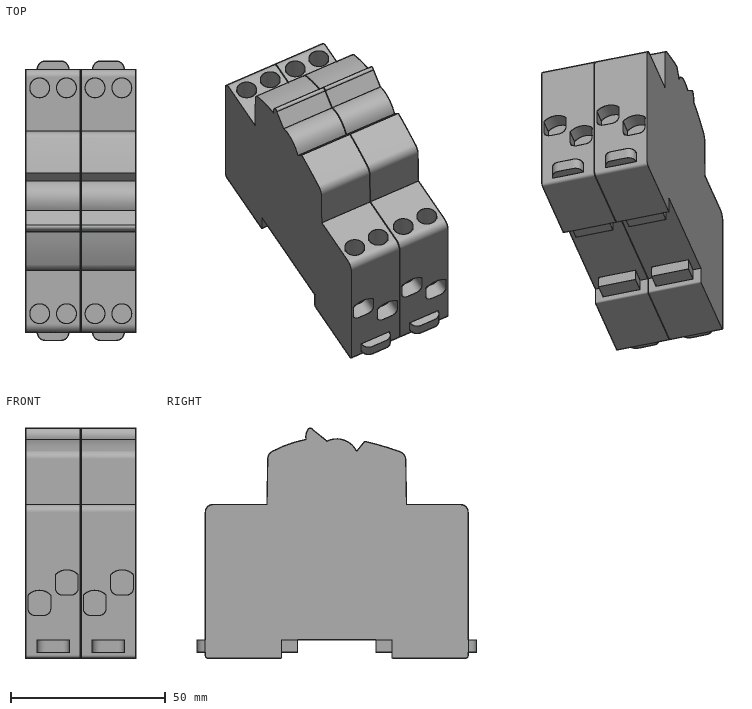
import cadquery as cq
import math


MODULE_COUNT = 2
MODULE_WIDTH = 17.7
MODULE_GAP = 0.2

OVERALL_LENGTH = 90.3
HOUSING_LENGTH = 85.0
SHOULDER_HEIGHT = 49.8
SHOULDER_RADIUS = 2.5
BASE_CORNER_RADIUS = 1.0

RAIL_RECESS_LENGTH = 35.6
RAIL_RECESS_HEIGHT = 6.0
RAIL_CORNER_RADIUS = 0.5

TOWER_BASE_HALF = 22.6
TOWER_TOP_HALF = 22.3
TOWER_CORNER_HEIGHT = 66.1
TOWER_CORNER_RADIUS = 2.9

BACK_CROWN_END = (9.0, 70.2)
BACK_CROWN_MIDDLE = (15.8, 68.4)
FRONT_CROWN_START = (-9.9, 70.8)
FRONT_CROWN_MIDDLE = (-16.3, 69.0)

BARREL_CENTRE_HEIGHT = 63.9
BARREL_RADIUS = 7.1
NOTCH_Y = 6.4
HANDLE_ROOT_Y = -3.2
HANDLE_TIP_START = (-7.8, 74.0)
HANDLE_TIP_TOP = (-8.5, 74.4)
HANDLE_TIP_END = (-9.4, 73.8)
HANDLE_SIDE_MIDDLE = (-10.0, 71.9)

SCREW_HOLE_OFFSET = 4.3
WIRE_HOLE_OFFSET = 4.4
SCREW_HOLE_DIAMETER = 6.4
SCREW_HOLE_Y = 36.5
SCREW_HOLE_DEPTH = 10.8
WIRE_HOLE_WIDTH = 7.4
WIRE_HOLE_HEIGHT = 8.1
WIRE_HOLE_ARCH_RISE = 1.6
WIRE_HOLE_CORNER_RADIUS = 2.3
WIRE_HOLE_DEPTH = 5.0
LOW_WIRE_HOLE_BOTTOM = 13.9
WIRE_HOLE_STAGGER = 6.6

CLIP_BOTTOM = 2.0
CLIP_ROOT_WIDTH = 10.5
CLIP_INNER_WIDTH = 12.5
CLIP_INNER_Y = 12.6
CLIP_TIP_WIDTH = 8.85
CLIP_TIP_RADIUS = 2.5

POSITION_TOLERANCE = 0.045

HALF_HOUSING = HOUSING_LENGTH / 2
HALF_RECESS = RAIL_RECESS_LENGTH / 2
HALF_LENGTH = OVERALL_LENGTH / 2


def barrel_height(y):
    """Height of the barrel's surface at a place along Y."""
    return BARREL_CENTRE_HEIGHT + math.sqrt(BARREL_RADIUS**2 - y**2)


def side_profile():
    """Outline of the module in the YZ plane, before its corners are rounded."""
    return (
        cq.Workplane("YZ")
        .moveTo(-HALF_HOUSING, 0)
        .lineTo(-HALF_HOUSING, SHOULDER_HEIGHT)
        .lineTo(-TOWER_BASE_HALF, SHOULDER_HEIGHT)
        .lineTo(-TOWER_TOP_HALF, TOWER_CORNER_HEIGHT)
        .threePointArc(FRONT_CROWN_MIDDLE, FRONT_CROWN_START)
        .threePointArc(HANDLE_SIDE_MIDDLE, HANDLE_TIP_END)
        .threePointArc(HANDLE_TIP_TOP, HANDLE_TIP_START)
        .lineTo(HANDLE_ROOT_Y, barrel_height(HANDLE_ROOT_Y))
        .threePointArc((0, barrel_height(0)), (NOTCH_Y, barrel_height(NOTCH_Y)))
        .lineTo(*BACK_CROWN_END)
        .threePointArc(BACK_CROWN_MIDDLE, (TOWER_TOP_HALF, TOWER_CORNER_HEIGHT))
        .lineTo(TOWER_BASE_HALF, SHOULDER_HEIGHT)
        .lineTo(HALF_HOUSING, SHOULDER_HEIGHT)
        .lineTo(HALF_HOUSING, 0)
        .lineTo(HALF_RECESS, 0)
        .lineTo(HALF_RECESS, RAIL_RECESS_HEIGHT)
        .lineTo(-HALF_RECESS, RAIL_RECESS_HEIGHT)
        .lineTo(-HALF_RECESS, 0)
        .close()
    )


def round_corners(body, y, z, radius):
    """Round the two X-direction edges at height z, at y and -y."""

    def at_corner(edge):
        centre = edge.Center()
        return abs(abs(centre.y) - y) < POSITION_TOLERANCE and abs(centre.z - z) < POSITION_TOLERANCE

    return body.edges("|X").filter(at_corner).fillet(radius)


def housing():
    """Module body with rounded corners, centred on X = 0."""
    body = side_profile().extrude(MODULE_WIDTH / 2, both=True)
    body = round_corners(body, HALF_HOUSING, SHOULDER_HEIGHT, SHOULDER_RADIUS)
    body = round_corners(body, TOWER_TOP_HALF, TOWER_CORNER_HEIGHT, TOWER_CORNER_RADIUS)
    body = round_corners(body, HALF_HOUSING, 0, BASE_CORNER_RADIUS)
    return round_corners(body, HALF_RECESS, 0, RAIL_CORNER_RADIUS)


def front_clip():
    """Rail clip: a wide tongue into the rail recess and a tapered, rounded tip past the front face."""
    half_root = CLIP_ROOT_WIDTH / 2
    half_tip = CLIP_TIP_WIDTH / 2
    height = RAIL_RECESS_HEIGHT - CLIP_BOTTOM
    tip = (
        cq.Workplane("XY", origin=(0, 0, CLIP_BOTTOM))
        .moveTo(-half_root, -HALF_HOUSING)
        .lineTo(-half_tip, -HALF_LENGTH)
        .lineTo(half_tip, -HALF_LENGTH)
        .lineTo(half_root, -HALF_HOUSING)
        .close()
        .extrude(height)
        .edges("|Z")
        .edges("<Y")
        .fillet(CLIP_TIP_RADIUS)
    )
    inner_length = HALF_HOUSING - CLIP_INNER_Y
    inner = (
        cq.Workplane("XY", origin=(0, -CLIP_INNER_Y - inner_length / 2, CLIP_BOTTOM))
        .rect(CLIP_INNER_WIDTH, inner_length)
        .extrude(height)
    )
    return tip.union(inner)


def front_screw_holes():
    """Round screw holes going down from the front shoulder."""
    return (
        cq.Workplane("XY", origin=(0, -SCREW_HOLE_Y, SHOULDER_HEIGHT))
        .pushPoints([(-SCREW_HOLE_OFFSET, 0), (SCREW_HOLE_OFFSET, 0)])
        .circle(SCREW_HOLE_DIAMETER / 2)
        .extrude(-SCREW_HOLE_DEPTH)
    )


def front_wire_hole(x, bottom):
    """Wire hole going in from the front face, with an arched top and rounded lower corners."""
    half_width = WIRE_HOLE_WIDTH / 2
    return (
        cq.Workplane("XZ", origin=(x, -HALF_HOUSING, bottom))
        .moveTo(-half_width, 0)
        .lineTo(-half_width, WIRE_HOLE_HEIGHT - WIRE_HOLE_ARCH_RISE)
        .threePointArc((0, WIRE_HOLE_HEIGHT), (half_width, WIRE_HOLE_HEIGHT - WIRE_HOLE_ARCH_RISE))
        .lineTo(half_width, 0)
        .close()
        .extrude(-WIRE_HOLE_DEPTH)
        .edges("|Y")
        .edges("<Z")
        .fillet(WIRE_HOLE_CORNER_RADIUS)
    )


def make_module():
    """One complete single-pole module; its two ends carry the same holes and clips."""
    low_hole = front_wire_hole(-WIRE_HOLE_OFFSET, LOW_WIRE_HOLE_BOTTOM)
    high_hole = front_wire_hole(WIRE_HOLE_OFFSET, LOW_WIRE_HOLE_BOTTOM + WIRE_HOLE_STAGGER)
    body = housing()
    clip = front_clip()
    body = body.union(clip).union(clip.mirror("XZ"))
    for hole in (front_screw_holes(), low_hole, high_hole):
        body = body.cut(hole).cut(hole.mirror("XZ"))
    return body


module_pitch = MODULE_WIDTH + MODULE_GAP
first_module_x = -module_pitch * (MODULE_COUNT - 1) / 2
module = make_module()
modules = []
for index in range(MODULE_COUNT):
    module_x = first_module_x + index * module_pitch
    modules.append(module.translate((module_x, 0, 0)).solids().val())

result = cq.Compound.makeCompound(modules)